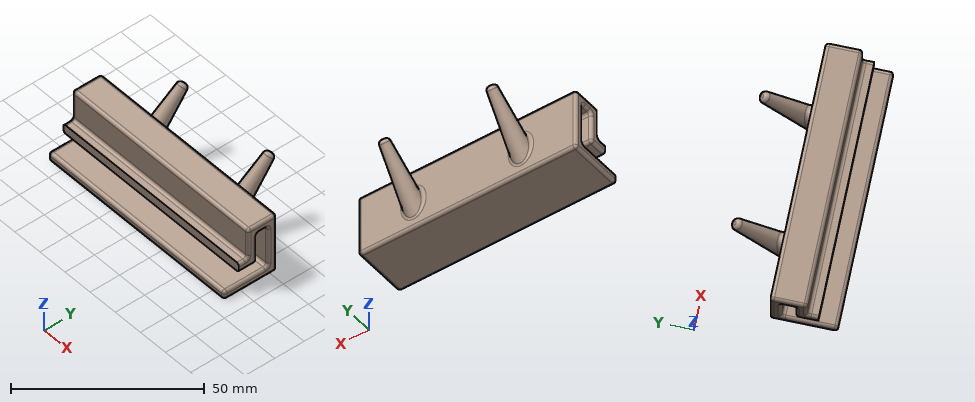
import cadquery as cq
import math

length = 70.0
depth = 17.9
height = 19.9
wall = 3.0
slot_width = 3.8
lip_bottom = 6.85
lip_reach = 12.8
edge_radius = 1.0

hook_depth = wall + slot_width + wall
lip_top = lip_bottom + wall

pin_spacing = 34.5
pin_height = 8.1
pin_tilt = 45.0
pin_length = 18.5
pin_taper = 5.0
pin_tip_radius = 1.55
tip_rounding = 1.2
root_fillet = 1.05
pin_overlap = 4.2


def pick_edges_at(solid, points):
    """Edges along X nearest to the given (y, z) points."""
    edges = cq.Workplane(solid).edges("|X")
    return [edges.edges(cq.NearestToPointSelector((0, y, z))).val() for y, z in points]


def make_rail():
    slot_front = -(wall + slot_width)
    slot_top = height - wall
    outline = [
        (0, 0),
        (-depth, 0),
        (-depth, wall),
        (-wall, wall),
        (-wall, slot_top),
        (slot_front, slot_top),
        (slot_front, lip_bottom),
        (-lip_reach, lip_bottom),
        (-lip_reach, lip_top),
        (-hook_depth, lip_top),
        (-hook_depth, height),
        (0, height),
    ]
    block = cq.Workplane("YZ").polyline(outline).close().extrude(length / 2, both=True)

    inside_corners = [
        (-wall, wall),
        (-wall, slot_top),
        (slot_front, slot_top),
        (-hook_depth, lip_top),
    ]
    solid = block.val()
    solid = solid.fillet(edge_radius, pick_edges_at(solid, inside_corners))

    outside_corners = [
        (0, 0),
        (-depth, 0),
        (-depth, wall),
        (slot_front, lip_bottom),
        (-hook_depth, height),
        (0, height),
    ]
    rounded = pick_edges_at(solid, outside_corners)
    lip_middle = (lip_bottom + lip_top) / 2
    for end, x in (("<X", -length / 2), (">X", length / 2)):
        end_edges = cq.Workplane(solid).faces(end).edges()
        tip_edge = end_edges.edges(cq.NearestToPointSelector((x, -lip_reach, lip_middle))).val()
        rounded += [edge for edge in end_edges.vals() if not edge.isSame(tip_edge)]
    return solid.fillet(edge_radius, rounded)


def make_pin(x):
    tilt = math.radians(pin_tilt)
    taper = math.tan(math.radians(pin_taper))
    base_radius = pin_tip_radius + (pin_length + pin_overlap) * taper
    axis = cq.Vector(0, math.cos(tilt), math.sin(tilt))
    start = cq.Vector(x, 0, pin_height) - axis * pin_overlap
    cone_length = pin_length + pin_overlap
    cone = cq.Solid.makeCone(base_radius, pin_tip_radius, cone_length, start, axis)
    tip_edge = cq.Workplane(cone).edges("%CIRCLE").edges(">Z").val()
    cone = cone.fillet(tip_rounding, [tip_edge])
    trim_size = 4 * pin_length
    behind = cq.Workplane("XY").box(trim_size, trim_size, trim_size, centered=(True, False, True))
    return cone.intersect(behind.val())


rail = cq.Workplane(make_rail())
for side in (-1, 1):
    rail = rail.union(cq.Workplane(make_pin(side * pin_spacing / 2)))

roots = rail.faces(cq.NearestToPointSelector((0, 0, height / 2))).edges("%ELLIPSE or %BSPLINE")
result = roots.fillet(root_fillet)